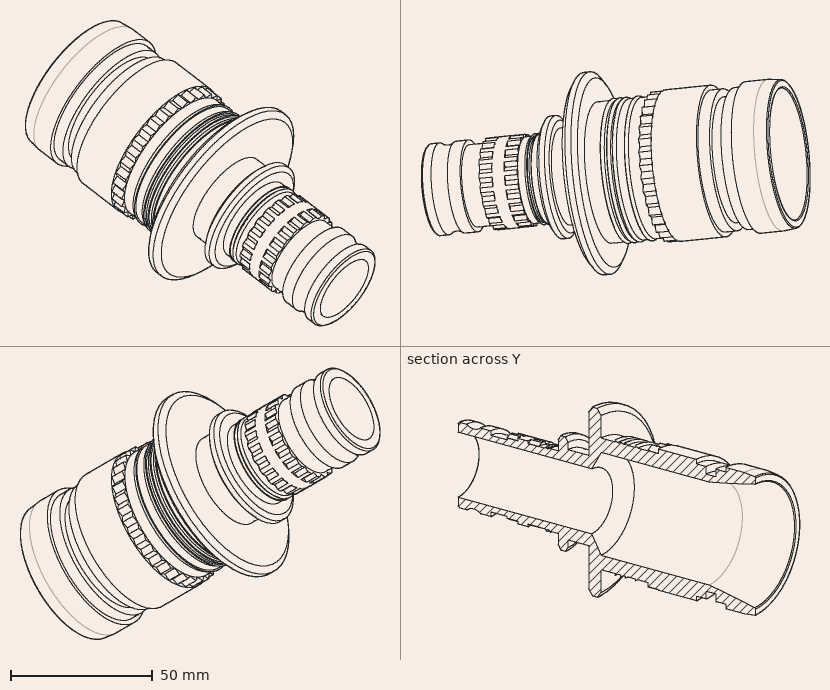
import cadquery as cq
import math

LENGTH = 130.6

MOUTH_RADIUS = 26.4
MOUTH_CHAMFER = 0.4
COLLAR_RADIUS = 26.9
SEAL_LAND_RADIUS = 25.2
BARREL_RADIUS = 25.1
SEAL_GROOVE_RADIUS = 22.3
LEAD_IN_END = 5.0
FRONT_COLLAR_END = 13.2
SEAL_GROOVE_START = 17.5
SEAL_GROOVE_END = 21.7
REAR_COLLAR_START = 26.0
REAR_COLLAR_END = 42.7

TOOTH_RING_LENGTH = 4.7
TOOTH_RING_RADIUS = 26.6
TOOTH_COUNT = 35

FIN_TIPS = (52.9, 57.3, 59.4, 61.8)
FIN_LENGTH = 1.3
FIN_HEIGHT = 0.7

FLANGE_START = 67.8
FLANGE_END = 73.4
FLANGE_RADIUS = 35.9
FLANGE_BEVEL_LENGTH = 1.7
FLANGE_BEVEL_HEIGHT = 2.4
NECK_RADIUS = 17.2
STOP_START = 82.3
STOP_END = 86.7
STOP_RADIUS = 21.8
STOP_BEVEL_LENGTH = 1.2
STOP_BEVEL_HEIGHT = 1.8

SHOULDER_RADIUS = 15.8
BARB_TIP_RADIUS = 16.2
BARB_LENGTH = 0.9
BARB_SPACING = 1.6
BARB_STARTS = (90.1, 90.1 + BARB_SPACING)
WAIST_RADIUS = 15.4
SLEEVE_START = 95.2
SLEEVE_END = 109.2
SLEEVE_RADIUS = 16.3
NOTCH_BAND_LENGTH = 4.7
NOTCH_COUNT = 20
NOTCH_ROOT_RADIUS = 15.3
NOTCH_WIDTH = 3.4
TIP_NECK_RADIUS = 14.6
TIP_COLLAR_START = 116.1
TIP_RADIUS = 16.3
TIP_GROOVE_START = 120.8
TIP_GROOVE_END = 126.8
TIP_GROOVE_RADIUS = 15.3
TIP_CHAMFER = 0.7

SOCKET_MOUTH_RADIUS = 23.4
SOCKET_DEPTH = 20.4
SOCKET_END_RADIUS = 19.5
HOLE_RADIUS = 12.3
CONE_HALF_ANGLE = 60.0

CUT_MARGIN = 1.3


def bevelled_disc(profile, start, end, radius, bevel_length, bevel_height):
    """Continue the outline over a disc whose two rims are bevelled."""
    return (
        profile.lineTo(start, radius - bevel_height)
        .lineTo(start + bevel_length, radius)
        .lineTo(end - bevel_length, radius)
        .lineTo(end, radius - bevel_height)
    )


def make_body():
    """Revolve the outer outline, without teeth and notches."""
    tooth_ring_end = REAR_COLLAR_END + TOOTH_RING_LENGTH
    profile = (
        cq.Workplane("XY")
        .moveTo(0, 0)
        .lineTo(0, MOUTH_RADIUS - MOUTH_CHAMFER)
        .lineTo(MOUTH_CHAMFER, MOUTH_RADIUS)
        .lineTo(LEAD_IN_END, COLLAR_RADIUS)
        .lineTo(FRONT_COLLAR_END, COLLAR_RADIUS)
        .lineTo(FRONT_COLLAR_END, SEAL_LAND_RADIUS)
        .lineTo(SEAL_GROOVE_START, SEAL_LAND_RADIUS)
        .lineTo(SEAL_GROOVE_START, SEAL_GROOVE_RADIUS)
        .lineTo(SEAL_GROOVE_END, SEAL_GROOVE_RADIUS)
        .lineTo(SEAL_GROOVE_END, SEAL_LAND_RADIUS)
        .lineTo(REAR_COLLAR_START, SEAL_LAND_RADIUS)
        .lineTo(REAR_COLLAR_START, COLLAR_RADIUS)
        .lineTo(REAR_COLLAR_END, COLLAR_RADIUS)
        .lineTo(REAR_COLLAR_END, TOOTH_RING_RADIUS)
        .lineTo(tooth_ring_end, TOOTH_RING_RADIUS)
        .lineTo(tooth_ring_end, BARREL_RADIUS)
    )
    for tip in FIN_TIPS:
        profile = (
            profile.lineTo(tip - FIN_LENGTH, BARREL_RADIUS)
            .lineTo(tip, BARREL_RADIUS + FIN_HEIGHT)
            .lineTo(tip, BARREL_RADIUS)
        )
    profile = profile.lineTo(FLANGE_START, BARREL_RADIUS)
    profile = bevelled_disc(
        profile, FLANGE_START, FLANGE_END, FLANGE_RADIUS, FLANGE_BEVEL_LENGTH, FLANGE_BEVEL_HEIGHT
    )
    profile = profile.lineTo(FLANGE_END, NECK_RADIUS).lineTo(STOP_START, NECK_RADIUS)
    profile = bevelled_disc(
        profile, STOP_START, STOP_END, STOP_RADIUS, STOP_BEVEL_LENGTH, STOP_BEVEL_HEIGHT
    )
    profile = profile.lineTo(STOP_END, SHOULDER_RADIUS).lineTo(BARB_STARTS[0], SHOULDER_RADIUS)
    for start in BARB_STARTS:
        profile = (
            profile.lineTo(start, BARB_TIP_RADIUS)
            .lineTo(start + BARB_LENGTH, WAIST_RADIUS)
            .lineTo(start + BARB_SPACING, WAIST_RADIUS)
        )
    profile = (
        profile.lineTo(SLEEVE_START, WAIST_RADIUS)
        .lineTo(SLEEVE_START, SLEEVE_RADIUS)
        .lineTo(SLEEVE_END, SLEEVE_RADIUS)
        .lineTo(SLEEVE_END, TIP_NECK_RADIUS)
        .lineTo(TIP_COLLAR_START, TIP_NECK_RADIUS)
        .lineTo(TIP_COLLAR_START, TIP_RADIUS)
        .lineTo(TIP_GROOVE_START, TIP_RADIUS)
        .threePointArc(
            ((TIP_GROOVE_START + TIP_GROOVE_END) / 2, TIP_GROOVE_RADIUS),
            (TIP_GROOVE_END, TIP_RADIUS),
        )
        .lineTo(LENGTH - TIP_CHAMFER, TIP_RADIUS)
        .lineTo(LENGTH, TIP_RADIUS - TIP_CHAMFER)
        .lineTo(LENGTH, 0)
        .close()
    )
    return profile.revolve(360, (0, 0, 0), (1, 0, 0))


def make_bore():
    """Revolve the stepped through bore."""
    cone_length = (SOCKET_END_RADIUS - HOLE_RADIUS) / math.tan(math.radians(CONE_HALF_ANGLE))
    return (
        cq.Workplane("XY")
        .moveTo(0, 0)
        .lineTo(0, SOCKET_MOUTH_RADIUS + MOUTH_CHAMFER)
        .lineTo(MOUTH_CHAMFER, SOCKET_MOUTH_RADIUS)
        .lineTo(SOCKET_DEPTH, SOCKET_END_RADIUS)
        .lineTo(FLANGE_START, SOCKET_END_RADIUS)
        .lineTo(FLANGE_START + cone_length, HOLE_RADIUS)
        .lineTo(LENGTH, HOLE_RADIUS)
        .lineTo(LENGTH, 0)
        .close()
        .revolve(360, (0, 0, 0), (1, 0, 0))
    )


def make_v_cutters(start, length, count, root_radius, rim_radius, rim_half_width):
    """Ring of lengthwise V-groove cutters, the first with its root at +Z."""
    rim_height = math.sqrt(rim_radius**2 - rim_half_width**2)
    side_slope = rim_half_width / (rim_height - root_radius)
    top = rim_radius + CUT_MARGIN
    top_half_width = side_slope * (top - root_radius)
    cutter = (
        cq.Workplane("YZ", origin=(start, 0, 0))
        .moveTo(0, root_radius)
        .lineTo(top_half_width, top)
        .lineTo(-top_half_width, top)
        .close()
        .extrude(length)
        .val()
    )
    pitch = 360 / count
    return [cutter.rotate((0, 0, 0), (1, 0, 0), i * pitch) for i in range(count)]


def cut_teeth(body):
    """Cut touching V-grooves, so that the teeth end in sharp crests."""
    half_pitch = math.pi / TOOTH_COUNT
    rim_half_width = TOOTH_RING_RADIUS * math.sin(half_pitch)
    cutters = make_v_cutters(
        REAR_COLLAR_END, TOOTH_RING_LENGTH, TOOTH_COUNT, BARREL_RADIUS, TOOTH_RING_RADIUS, rim_half_width
    )
    return body.cut(cq.Workplane(cq.Compound.makeCompound(cutters)))


def cut_notches(body):
    """Cut a band of V-notches at each end of the sleeve."""
    for start in (SLEEVE_START, SLEEVE_END - NOTCH_BAND_LENGTH):
        cutters = make_v_cutters(
            start, NOTCH_BAND_LENGTH, NOTCH_COUNT, NOTCH_ROOT_RADIUS, SLEEVE_RADIUS, NOTCH_WIDTH / 2
        )
        body = body.cut(cq.Workplane(cq.Compound.makeCompound(cutters)))
    return body


result = cut_notches(cut_teeth(make_body())).cut(make_bore())